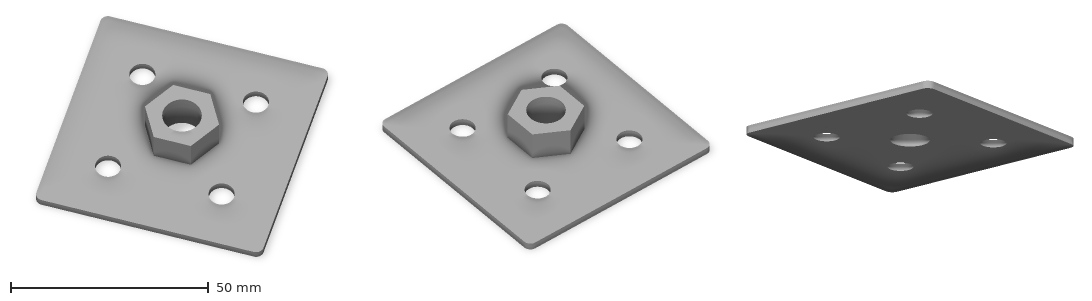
import cadquery as cq
import math

plate_side = 60.0
plate_thickness = 2.0
corner_radius = 2.0

total_height = 10.0
hex_across_flats = 17.0
hex_across_corners = hex_across_flats / math.cos(math.radians(30))
bore_diameter = 10.0

hole_diameter = 6.6
hole_spacing = plate_side / 2

plate = (
    cq.Workplane("XY")
    .rect(plate_side, plate_side)
    .extrude(plate_thickness)
    .edges("|Z")
    .fillet(corner_radius)
)

boss = cq.Workplane("XY").polygon(6, hex_across_corners).extrude(total_height)

bore = cq.Workplane("XY").circle(bore_diameter / 2).extrude(total_height)

mounting_holes = (
    cq.Workplane("XY")
    .rect(hole_spacing, hole_spacing, forConstruction=True)
    .vertices()
    .circle(hole_diameter / 2)
    .extrude(plate_thickness)
)

result = plate.union(boss).cut(bore).cut(mounting_holes)